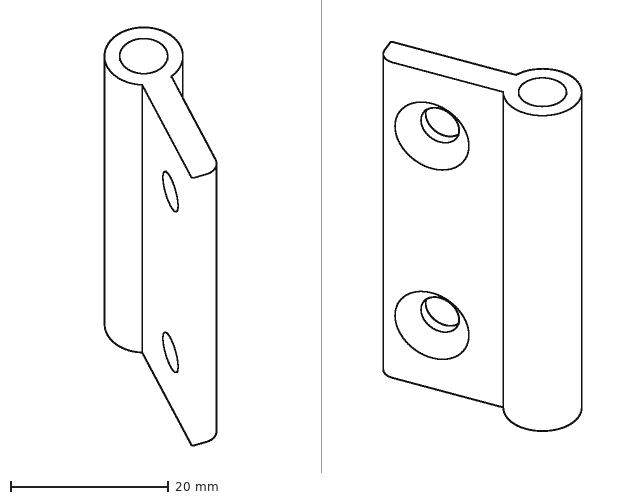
import cadquery as cq

height = 50.0
barrel_diameter = 10.0
bore_diameter = 6.1
plate_thickness = 4.0
plate_end_x = 22.0
back_edge_radius = 2.0
front_edge_radius = 0.25

hole_diameter = 5.3
hole_x = 14.5
hole_spacing = 30.0
countersink_diameter = 10.3
countersink_angle = 90.0


def make_barrel():
    return cq.Workplane("XY").circle(barrel_diameter / 2).extrude(height)


def make_plate():
    plate = cq.Workplane("XY").box(
        plate_end_x, plate_thickness, height, centered=(False, True, False)
    )
    plate = plate.edges("|Z and >X and >Y").fillet(back_edge_radius)
    return plate.edges("|Z and >X and <Y").fillet(front_edge_radius)


def cut_screw_holes(body):
    back_face = cq.Workplane("XZ", origin=(0, plate_thickness / 2, 0)).transformed(rotate=(0, 180, 0))
    centers = [(-hole_x, height / 2 + side * hole_spacing / 2) for side in (-1, 1)]
    return (
        back_face.add(body)
        .pushPoints(centers)
        .cskHole(hole_diameter, countersink_diameter, countersink_angle)
    )


leaf = make_barrel().union(make_plate())
leaf = cut_screw_holes(leaf)
bore = cq.Workplane("XY").circle(bore_diameter / 2).extrude(height)
result = leaf.cut(bore)